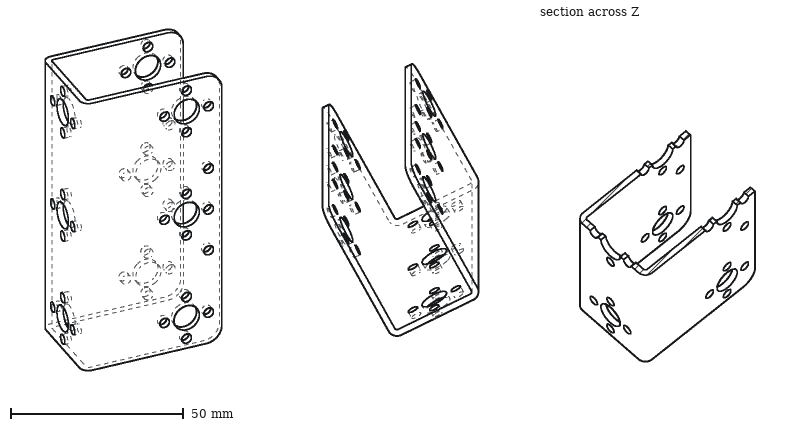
import cadquery as cq

width = 29.0
depth = 44.0
height = 90.0
thickness = 2.0

bend_outer_radius = 2.75
bend_inner_radius = bend_outer_radius - thickness
corner_radius = 5.0

centre_hole_diameter = 8.0
small_hole_diameter = 3.0
small_hole_offset = 7.0
pattern_pitch = 34.75
pattern_heights = [-pattern_pitch, 0.0, pattern_pitch]

flange_edge_distance = 11.2
flange_pattern_y = depth - flange_edge_distance
extra_hole_y = flange_pattern_y + small_hole_offset
extra_hole_height = 13.75


def make_channel():
    """Bent sheet: a web at Y = 0 with two side flanges, centred on X and Z."""
    outer = (
        cq.Workplane("XY")
        .box(width, depth, height, centered=(True, False, True))
        .edges("|Z and <Y")
        .fillet(bend_outer_radius)
    )
    inner = (
        cq.Workplane("XY")
        .box(width - 2 * thickness, depth, height, centered=(True, False, True))
        .edges("|Z and <Y")
        .fillet(bend_inner_radius)
        .translate((0, thickness, 0))
    )
    return outer.cut(inner)


def round_flange_corners(body):
    """Round the top and bottom corners at the open end of both flanges."""
    return body.edges("|X and >Y").fillet(corner_radius)


def pattern_points(across):
    """Small hole centres of every pattern, with the patterns stacked along Z."""
    points = []
    for z in pattern_heights:
        points.append((across - small_hole_offset, z))
        points.append((across + small_hole_offset, z))
        points.append((across, z - small_hole_offset))
        points.append((across, z + small_hole_offset))
    return points


def drill(plane, points, diameter, length):
    """Cylinders of the given total length, centred on the plane."""
    return plane.pushPoints(points).circle(diameter / 2).extrude(length / 2, both=True)


def cut_web_holes(body):
    """Column of hole patterns through the web only."""
    plane = cq.Workplane("XZ")
    drill_length = 4 * thickness
    centres = [(0, z) for z in pattern_heights]
    body = body.cut(drill(plane, centres, centre_hole_diameter, drill_length))
    return body.cut(drill(plane, pattern_points(0), small_hole_diameter, drill_length))


def cut_flange_holes(body):
    """Column of hole patterns and two extra holes through both flanges."""
    plane = cq.Workplane("YZ")
    drill_length = 2 * width
    centres = [(flange_pattern_y, z) for z in pattern_heights]
    small_holes = pattern_points(flange_pattern_y)
    small_holes += [(extra_hole_y, side * extra_hole_height) for side in (-1, 1)]
    body = body.cut(drill(plane, centres, centre_hole_diameter, drill_length))
    return body.cut(drill(plane, small_holes, small_hole_diameter, drill_length))


channel = round_flange_corners(make_channel())
result = cut_flange_holes(cut_web_holes(channel))